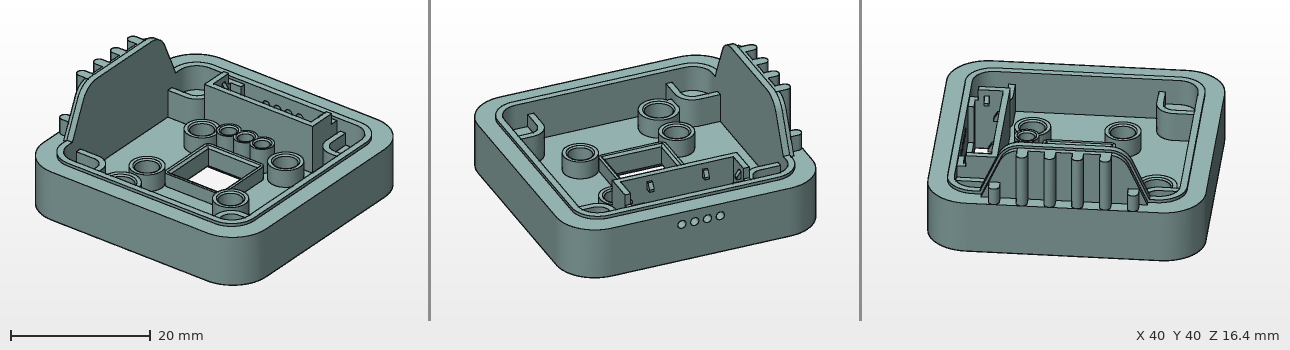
import cadquery as cq
import math

body_side = 40.0
body_height = 8.0
body_corner_radius = 6.0
floor_top = 2.0

rim_side = 34.5
rim_height = 0.5
rim_corner_radius = 4.0
rim_wall = 1.0
rim_top = body_height + rim_height
cavity_side = rim_side - 2 * rim_wall
cavity_corner_radius = rim_corner_radius - rim_wall
cavity_edge = cavity_side / 2

screw_offset = 13.0
screw_hole_diameter = 2.2
screw_seat_top = 4.5
corner_wall_top = 6.5
pad_overlap = 0.4
corner_wall_outer_radius = 2.7
corner_wall_inner_radius = 1.7

box_half_width = 9.7
box_front = 10.45
box_wall = 0.9
box_top = 9.75
box_rear = 14.95
window_half_width = box_half_width - box_wall
window_front = box_front + box_wall
window_rear = 15.4
rear_block_inner = 6.9
wire_hole_diameter = 1.3
wire_hole_pitch = 2.0
wire_hole_count = 4
wire_hole_height = 6.0

nub_width = 0.7
nub_bottom = 7.5
nub_tip_height = 0.35
nub_top = 8.8
side_nub_reach = 0.65
side_nub_y = 13.7
front_nub_reach = 0.9
front_nub_ledge = 0.35
front_nub_x = 4.3

frame_side = 10.5
frame_corner_radius = 0.8
frame_opening = 8.9
frame_top = 4.15
frame_chamfer = 0.35
opening_flare = 0.95

sleeve_x = 7.5
sleeve_rear_y = 7.0
sleeve_front_y = -6.0
sleeve_radius = 2.6
sleeve_bore_radius = 1.8
sleeve_top = 4.8
lamp_pitch = 3.0
lamp_y = 7.4
lamp_radius = 1.75
lamp_bore_radius = 1.15
lamp_top = 6.0
bore_chamfer = 0.25
button_x = -7.5
button_y = -12.3
button_radius = 2.95
button_bore_radius = 2.1
button_top = 5.0
button_hole_radius = 0.85
button_web_front = -14.25

grip_base_half_width = 12.2
grip_top = 16.4
grip_slope = 24.0
grip_corner_radius = 3.5
grip_step = 0.4
grip_plate = 0.75
rib_width = 1.6
rib_pitch = 4.0
rib_count = 6
short_rib_top = 10.55


def plate(side, corner_radius, bottom, top):
    """Square plate with rounded corners, centred on the Z axis."""
    block = cq.Workplane("XY", origin=(0, 0, bottom)).rect(side, side).extrude(top - bottom)
    return block.edges("|Z").fillet(corner_radius)


def box(x_min, x_max, y_min, y_max, bottom, top):
    size = (x_max - x_min, y_max - y_min, top - bottom)
    return cq.Workplane("XY", origin=(x_min, y_min, bottom)).box(*size, centered=False)


def cylinder(x, y, radius, bottom, top):
    return cq.Workplane("XY", origin=(x, y, bottom)).circle(radius).extrude(top - bottom)


def chamfered_bore(x, y, radius, bottom, top):
    return cylinder(x, y, radius, bottom, top).union(
        cq.Workplane("XY", origin=(x, y, top - bore_chamfer))
        .circle(radius)
        .workplane(offset=bore_chamfer)
        .circle(radius + bore_chamfer)
        .loft()
    )


def square_flare(bottom_side, top_side, bottom, top):
    return (
        cq.Workplane("XY", origin=(0, 0, bottom))
        .rect(bottom_side, bottom_side)
        .workplane(offset=top - bottom)
        .rect(top_side, top_side)
        .loft()
    )


def corner_pad(radius, top):
    """Pad filling the +X +Y cavity corner, rounded around the screw axis."""
    inner = screw_offset - radius
    outer = cavity_edge + pad_overlap
    pad = box(inner, outer, inner, outer, floor_top, top)
    return pad.edges("|Z and <X and <Y").fillet(radius)


def screw_corner():
    wall = corner_pad(corner_wall_outer_radius, corner_wall_top)
    pocket = corner_pad(corner_wall_inner_radius, corner_wall_top)
    seat = corner_pad(corner_wall_inner_radius, screw_seat_top)
    return wall.cut(pocket).union(seat)


def grip_slab(inset, x_min, x_max):
    """Trapezoidal upright slab with rounded top corners, shrunk evenly by the inset."""
    slope = math.tan(math.radians(grip_slope))
    side_inset = inset / math.cos(math.radians(grip_slope))
    top = grip_top - inset
    bottom_half = grip_base_half_width - side_inset + (rim_top - body_height) * slope
    top_half = bottom_half - (top - body_height) * slope
    corners = [(-bottom_half, body_height), (bottom_half, body_height), (top_half, top), (-top_half, top)]
    slab = cq.Workplane("YZ", origin=(x_min, 0, 0)).polyline(corners).close().extrude(x_max - x_min)
    return slab.edges("|X and >Z").fillet(grip_corner_radius - inset)


def grip_rib(y, top):
    """Upright rib with a fully rounded outer end."""
    radius = rib_width / 2
    nose = -body_side / 2 + radius
    rib = box(nose, -rim_side / 2, y - radius, y + radius, body_height, top)
    return rib.union(cylinder(nose, y, radius, body_height, top))


def snap_nub(reach, ledge):
    """Wedge on a wall facing +X at the origin, sloping out from a flat ledge down to its tip."""
    root = -box_wall / 2
    profile = [
        (root, nub_bottom),
        (reach, nub_bottom),
        (reach, nub_bottom + nub_tip_height),
        (ledge, nub_top),
        (root, nub_top),
    ]
    return cq.Workplane("XZ").polyline(profile).close().extrude(nub_width / 2, both=True)


housing = plate(body_side, body_corner_radius, 0, body_height)
housing = housing.union(plate(rim_side, rim_corner_radius, floor_top, rim_top))
housing = housing.cut(plate(cavity_side, cavity_corner_radius, floor_top, rim_top))

corner = screw_corner()
for turn in range(4):
    housing = housing.union(corner.rotate((0, 0, 0), (0, 0, 1), 90 * turn))
for x in (-screw_offset, screw_offset):
    for y in (-screw_offset, screw_offset):
        housing = housing.cut(cylinder(x, y, screw_hole_diameter / 2, 0, screw_seat_top))

housing = housing.union(box(-box_half_width, box_half_width, box_front, box_rear, floor_top, box_top))
housing = housing.union(box(-box_half_width, box_half_width, box_rear, cavity_edge, floor_top, body_height))
housing = housing.cut(box(-window_half_width, window_half_width, window_front, window_rear, 0, box_top))
housing = housing.cut(
    box(-rear_block_inner, rear_block_inner, window_rear, cavity_edge, floor_top, box_top)
)
for index in range(wire_hole_count):
    x = (index - (wire_hole_count - 1) / 2) * wire_hole_pitch
    hole = cq.Workplane("XZ", origin=(x, body_side / 2, wire_hole_height)).circle(wire_hole_diameter / 2)
    housing = housing.cut(hole.extrude(body_side / 2 - window_rear))
left_nub = snap_nub(side_nub_reach, 0).translate((-window_half_width, side_nub_y, 0))
housing = housing.union(left_nub).union(left_nub.mirror("YZ"))
front_nub = snap_nub(front_nub_reach, front_nub_ledge).rotate((0, 0, 0), (0, 0, 1), 90)
for x in (-front_nub_x, front_nub_x):
    housing = housing.union(front_nub.translate((x, window_front, 0)))

sleeve_places = [(x, y) for x in (-sleeve_x, sleeve_x) for y in (sleeve_front_y, sleeve_rear_y)]
lamp_places = [(x, lamp_y) for x in (-lamp_pitch, 0, lamp_pitch)]
for x, y in sleeve_places:
    housing = housing.union(cylinder(x, y, sleeve_radius, floor_top, sleeve_top))
for x, y in lamp_places:
    housing = housing.union(cylinder(x, y, lamp_radius, floor_top, lamp_top))
housing = housing.union(cylinder(button_x, button_y, button_radius, floor_top, button_top))
button_web = box(
    corner_wall_outer_radius - screw_offset, button_x, button_web_front, button_y, floor_top, button_top
)
housing = housing.union(button_web)
housing = housing.union(plate(frame_side, frame_corner_radius, floor_top, frame_top))

for x, y in sleeve_places:
    housing = housing.cut(chamfered_bore(x, y, sleeve_bore_radius, 0, sleeve_top))
for x, y in lamp_places:
    housing = housing.cut(chamfered_bore(x, y, lamp_bore_radius, 0, lamp_top))
housing = housing.cut(chamfered_bore(button_x, button_y, button_bore_radius, floor_top, button_top))
housing = housing.cut(cylinder(button_x, button_y, button_hole_radius, 0, floor_top))

chamfer_side = frame_opening + 2 * frame_chamfer
flare_side = frame_opening + 2 * opening_flare
half_opening = frame_opening / 2
housing = housing.cut(box(-half_opening, half_opening, -half_opening, half_opening, 0, frame_top))
housing = housing.cut(square_flare(frame_opening, chamfer_side, frame_top - frame_chamfer, frame_top))
housing = housing.cut(square_flare(flare_side, frame_opening, 0, opening_flare))

rim_face = -rim_side / 2
housing = housing.union(grip_slab(0, rim_face, -cavity_edge))
housing = housing.union(grip_slab(grip_step, rim_face - grip_plate, rim_face))
for index in range(rib_count):
    is_end_rib = index in (0, rib_count - 1)
    rib_top = short_rib_top if is_end_rib else grip_top - grip_step
    housing = housing.union(grip_rib((index - (rib_count - 1) / 2) * rib_pitch, rib_top))

result = housing